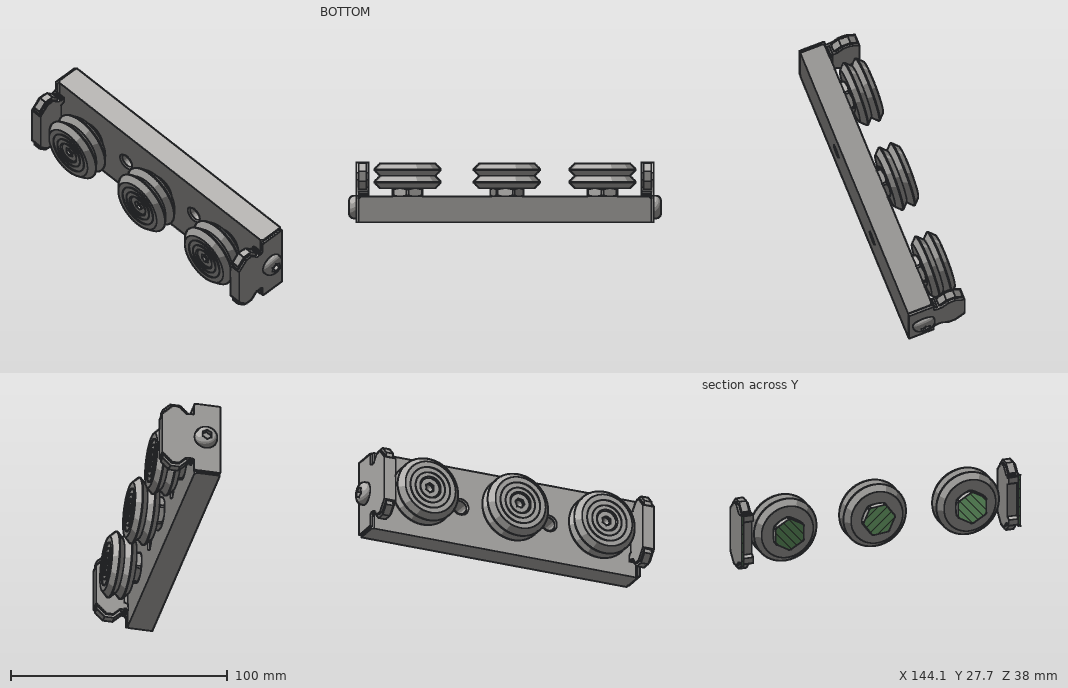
import cadquery as cq
import math


bar_length = 135.2
bar_depth = 12.0
bar_height = 38.0
bar_end_chamfer = 1.0
hole_offset = 22.5
hole_diameter = 6.5
hole_mouth_diameter = 8.0
hole_mouth_angle = 90

cap_span = 137.5
plate_height = 36.3
plate_depth = 12.4
plate_corner_fillet = 0.5
wiper_depth = 27.7
wiper_inner_gap = 126.0
wiper_half_height = 15.35
wiper_flat_start = 19.6
wiper_flat_end = 22.9
neck_half_height = 12.04
neck_fillet = 1.5
foot_depth = 12.5
foot_bottom = 9.1
foot_groove_start = 13.4
foot_groove_depth = 0.6
block_depth = 14.4
rim_offset = 1.5
rim_inner_gap = 128.0
rim_front_depth = 27.2

overall_length = 144.1
screw_depth = 7.0
head_radius = 5.3
head_skirt = 0.9
head_tip_radius = 2.81
head_dome_mid_radius = 4.5
head_dome_mid_setback = 0.65
head_socket_flats = 4.3
head_socket_depth = 2.2

roller_spacing = 45.0
roller_z = -0.3
eccentric_x = 0.9
eccentric_z = 0.5
eccentric_turn = 84.0
roller_radius = 15.4
ridge_height = 2.67
ridge_land = 0.5
ridge_count = 2
roller_front_depth = 27.2
shield_outer_radius = 10.1
shield_inner_radius = 7.5
shield_recess = 0.5
stud_mouth_radius = 5.3
stud_radius = 4.8
stud_socket_flats = 4.0
stud_socket_depth = 1.5
drill_tip_depth = 1.2
nut_flats = 14.0
nut_corner_radius = 7.8
nut_chamfer_height = 0.6

point_up = 90

bar_end = bar_length / 2
cap_outer = cap_span / 2
cap_inner = wiper_inner_gap / 2
rim_inner = rim_inner_gap / 2
head_tip = overall_length / 2
ridge_width = 2 * ridge_height + ridge_land
roller_back_depth = roller_front_depth - ridge_count * ridge_width


def hexagon_diameter(flats):
    """Corner-to-corner diameter of a hexagon with this width across flats."""
    return flats / math.cos(math.pi / 6)


def make_carriage():
    bar = (
        cq.Workplane("XY")
        .box(bar_length, bar_depth, bar_height)
        .translate((0, -bar_depth / 2, 0))
        .faces("<Y")
        .edges("|Z")
        .chamfer(bar_end_chamfer)
    )
    return (
        bar.faces("<Y")
        .workplane(origin=(0, -bar_depth, 0))
        .pushPoints([(-hole_offset, 0), (hole_offset, 0)])
        .cskHole(hole_diameter, hole_mouth_diameter, hole_mouth_angle)
    )


def extrude_profile(upper_points, x_inner, x_outer):
    """Mirror an upper outline of (depth, z) points about Z = 0 and extrude it along X."""
    outline = [(-depth, z) for depth, z in upper_points]
    outline += [(-depth, -z) for depth, z in reversed(upper_points)]
    return cq.Workplane("YZ", origin=(x_inner, 0, 0)).polyline(outline).close().extrude(x_outer - x_inner)


def wiper_outline():
    """Upper outline of the wiper from the neck forwards; its slopes run at 45 degrees."""
    neck_end = wiper_flat_start - (wiper_half_height - neck_half_height)
    front_half_height = wiper_half_height - (wiper_depth - wiper_flat_end)
    return [
        (neck_end, neck_half_height),
        (wiper_flat_start, wiper_half_height),
        (wiper_flat_end, wiper_half_height),
        (wiper_depth, front_half_height),
    ]


def make_end_plate():
    """Thin plate against the bar end, with a rounded notch on each side between bar and wiper."""
    half_plate = plate_height / 2
    shoulders = [(0, half_plate), (plate_depth, half_plate), (plate_depth, neck_half_height)]
    plate = extrude_profile(shoulders + wiper_outline(), bar_end, cap_outer)
    neck_end = wiper_outline()[0][0]
    corner_fillets = [
        (0, half_plate, plate_corner_fillet),
        (plate_depth, half_plate, plate_corner_fillet),
        (plate_depth, neck_half_height, neck_fillet),
        (neck_end, neck_half_height, neck_fillet),
    ]
    plate_middle = (bar_end + cap_outer) / 2
    for depth, z, radius in corner_fillets:
        for mirror in (-1, 1):
            corner = cq.selectors.NearestToPointSelector((plate_middle, -depth, mirror * z))
            plate = plate.edges(corner).fillet(radius)
    return plate


def make_wiper_block():
    """Wiper behind the end plate, with a hooked and grooved foot at each side of the neck."""
    groove_floor = neck_half_height - foot_groove_depth
    foot = [
        (block_depth, foot_bottom - (block_depth - foot_groove_start)),
        (foot_depth, foot_bottom),
        (foot_depth, neck_half_height),
        (foot_groove_start, neck_half_height),
        (foot_groove_start, groove_floor),
        (block_depth, groove_floor),
        (block_depth, neck_half_height),
    ]
    return extrude_profile(foot + wiper_outline(), cap_inner, bar_end)


def make_rim():
    """Middle layer of the wiper, standing proud of its sloped and flat edges."""
    shift = rim_offset * math.tan(math.pi / 8)
    diagonal = rim_offset * math.sqrt(0.5)
    foot_end, foot_height = wiper_outline()[0]
    top = wiper_half_height + rim_offset
    flat_end = wiper_flat_end + shift
    outline = [
        (foot_end, foot_height),
        (foot_end - diagonal, foot_height + diagonal),
        (wiper_flat_start - shift, top),
        (flat_end, top),
        (rim_front_depth, top - (rim_front_depth - flat_end)),
    ]
    return extrude_profile(outline, rim_inner, bar_end)


def make_screw_head():
    """Button head revolved about its axis along X, with a hexagon socket."""
    skirt_end = cap_outer + head_skirt
    head = (
        cq.Workplane("XY")
        .moveTo(bar_end, 0)
        .lineTo(bar_end, head_radius)
        .lineTo(skirt_end, head_radius)
        .threePointArc((head_tip - head_dome_mid_setback, head_dome_mid_radius), (head_tip, head_tip_radius))
        .lineTo(head_tip, 0)
        .close()
        .revolve(360, (0, 0, 0), (1, 0, 0))
        .translate((0, -screw_depth, 0))
    )
    socket = (
        cq.Workplane("YZ", origin=(head_tip - head_socket_depth, -screw_depth, 0))
        .transformed(rotate=(0, 0, point_up))
        .polygon(6, hexagon_diameter(head_socket_flats))
        .extrude(head_socket_depth)
    )
    return head, socket


def make_end_cap(side):
    """End plate, wiper and screw head; side is +1 for the +X end and -1 for the -X end."""
    head, socket = make_screw_head()
    cap = make_end_plate().union(make_wiper_block()).union(make_rim()).union(head).cut(socket)
    return cap if side > 0 else cap.mirror("YZ")


def make_roller():
    """Double-ridged roller with its stud and nut, about an axis along Y through the origin."""
    valley_radius = roller_radius - ridge_height
    outline = [(0, -roller_back_depth), (valley_radius, -roller_back_depth)]
    for ridge in range(ridge_count):
        start = roller_back_depth + ridge * ridge_width
        outline += [
            (roller_radius, -(start + ridge_height)),
            (roller_radius, -(start + ridge_height + ridge_land)),
            (valley_radius, -(start + ridge_width)),
        ]
    stud_face_depth = roller_front_depth - (stud_mouth_radius - stud_radius)
    outline += [
        (shield_outer_radius, -roller_front_depth),
        (shield_outer_radius, -(roller_front_depth - shield_recess)),
        (shield_inner_radius, -(roller_front_depth - shield_recess)),
        (shield_inner_radius, -roller_front_depth),
        (stud_mouth_radius, -roller_front_depth),
        (stud_radius, -stud_face_depth),
        (0, -stud_face_depth),
    ]
    wheel = cq.Workplane("XY").polyline(outline).close().revolve(360, (0, 0, 0), (0, 1, 0))

    nut_height = roller_back_depth - bar_depth
    nut = (
        cq.Workplane("XZ", origin=(0, -bar_depth, 0))
        .transformed(rotate=(0, 0, point_up))
        .polygon(6, hexagon_diameter(nut_flats))
        .extrude(nut_height)
    )
    nut_envelope = (
        cq.Workplane("XZ", origin=(0, -bar_depth, 0))
        .circle(nut_corner_radius)
        .extrude(nut_height)
        .edges()
        .chamfer(nut_chamfer_height, nut_corner_radius - nut_flats / 2)
    )
    socket_floor_depth = stud_face_depth - stud_socket_depth
    socket = (
        cq.Workplane("XZ", origin=(0, -socket_floor_depth, 0))
        .transformed(rotate=(0, 0, point_up))
        .polygon(6, hexagon_diameter(stud_socket_flats))
        .extrude(stud_socket_depth)
    )
    drill_tip = cq.Workplane(
        cq.Solid.makeCone(
            stud_socket_flats / 2, 0, drill_tip_depth, cq.Vector(0, -socket_floor_depth, 0), cq.Vector(0, 1, 0)
        )
    )
    return wheel.union(nut.intersect(nut_envelope)).cut(socket).cut(drill_tip)


carriage = make_carriage()
end_caps = [make_end_cap(side) for side in (-1, 1)]

roller_places = [
    (0, -roller_spacing, roller_z),
    (eccentric_turn, eccentric_x, eccentric_z),
    (0, roller_spacing, roller_z),
]
rollers = [
    make_roller().rotate((0, 0, 0), (0, -1, 0), turn).translate((x, 0, z))
    for turn, x, z in roller_places
]

bodies = [carriage] + end_caps + rollers
result = cq.Compound.makeCompound([body.val() for body in bodies])